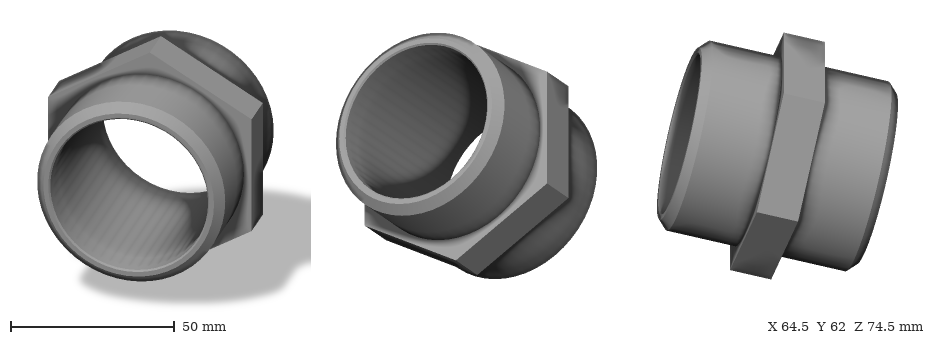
import cadquery as cq
import math

length = 62.0
barrel_diameter = 59.61
bore_diameter = 50.0
hex_across_flats = 64.5
hex_sides = 6
hex_width = 13.0
corner_angle = 90.0
outer_chamfer = 2.8
bore_chamfer = 0.5


def end_barrels():
    """Plain cylinder along Y with both outer end edges chamfered."""
    cylinder = cq.Workplane("XZ").circle(barrel_diameter / 2).extrude(length / 2, both=True)
    return cylinder.faces("<Y or >Y").edges().chamfer(outer_chamfer)


def hex_collar():
    """Hexagon with flats facing +X and -X and two opposite corners on the Z axis."""
    across_corners = hex_across_flats / math.cos(math.pi / hex_sides)
    return (
        cq.Workplane("XZ")
        .transformed(rotate=(0, 0, corner_angle))
        .polygon(hex_sides, across_corners)
        .extrude(hex_width / 2, both=True)
    )


def bore():
    """Through bore that widens to a small chamfer at each mouth."""
    half_length = length / 2
    bore_radius = bore_diameter / 2
    mouth_radius = bore_radius + bore_chamfer
    chamfer_start = half_length - bore_chamfer
    profile = [
        (0, -half_length),
        (mouth_radius, -half_length),
        (bore_radius, -chamfer_start),
        (bore_radius, chamfer_start),
        (mouth_radius, half_length),
        (0, half_length),
    ]
    return cq.Workplane("XY").polyline(profile).close().revolve(360, (0, 0), (0, 1))


result = end_barrels().union(hex_collar()).cut(bore())